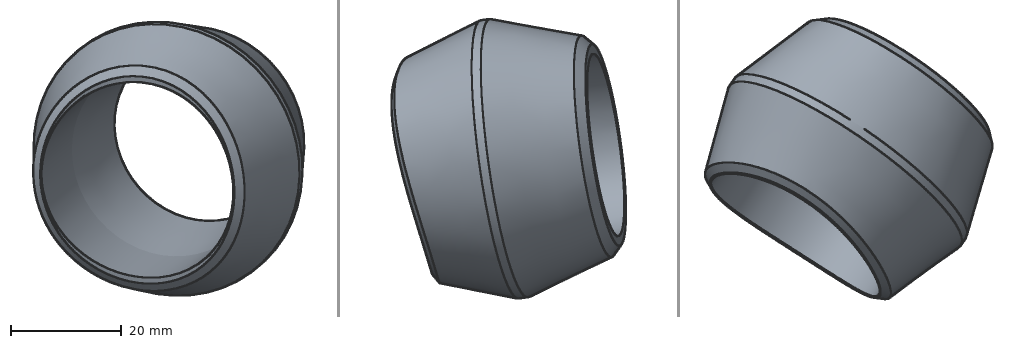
import cadquery as cq

belt_radius = 25.4
belt_width = 1.7
rear_length = 17.85
rear_chamfer_length = 1.75
rear_cone_radius = 20.2
rear_face_radius = 18.4

front_cone_slope = 0.34
front_cone_length = 20.3

saddle_radius = 74.7
saddle_crown = 15.55
saddle_edge_chamfer = 1.25

bore_radius = 18.3
rear_bore_radius = 16.6


def revolve_about_y(profile):
    """Solid of revolution from (radius, y) points."""
    outline = [(y, radius) for radius, y in profile]
    return cq.Workplane("YZ").polyline(outline).close().revolve(360, (0, 0), (1, 0))


def make_body():
    """Double cone with a narrow belt, revolved about Y."""
    front_tip_radius = belt_radius - front_cone_slope * front_cone_length
    front_tip_y = -belt_width - front_cone_length
    profile = [
        (0, rear_length),
        (rear_face_radius, rear_length),
        (rear_cone_radius, rear_length - rear_chamfer_length),
        (belt_radius, 0),
        (belt_radius, -belt_width),
        (front_tip_radius, front_tip_y),
        (0, front_tip_y),
    ]
    return revolve_about_y(profile)


def make_saddle():
    """Pipe along Z whose surface shapes the front end."""
    pipe_center_y = -saddle_crown - saddle_radius
    pipe_length = 3 * belt_radius
    pipe_section = cq.Workplane("XY").center(0, pipe_center_y).circle(saddle_radius)
    return pipe_section.extrude(pipe_length / 2, both=True)


def make_bore():
    """Straight bore from the saddle to mid-belt, then tapering to the rear face."""
    front_end_y = -belt_width - front_cone_length
    profile = [
        (0, front_end_y),
        (bore_radius, front_end_y),
        (bore_radius, -belt_width / 2),
        (rear_bore_radius, rear_length),
        (0, rear_length),
    ]
    return revolve_about_y(profile)


body = make_body().cut(make_saddle())
body = body.faces("<Y").edges().chamfer(saddle_edge_chamfer)
result = body.cut(make_bore())